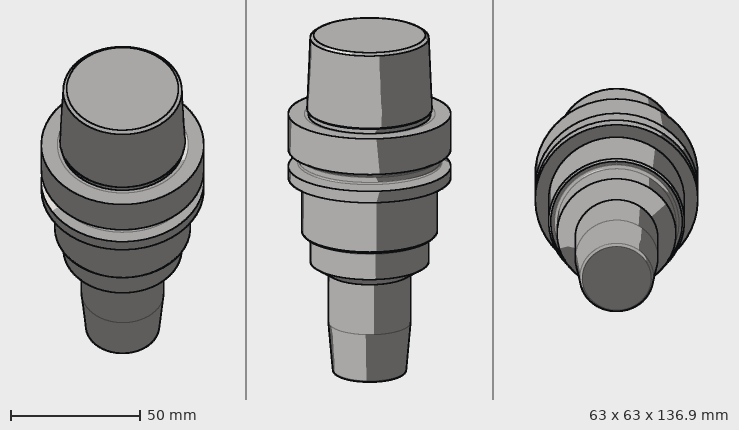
import cadquery as cq

total_length = 136.9
nose_taper_top = 20.3
neck_top = 40.5
collar_bottom = 44.9
body_bottom = 56.4
flange_bottom = 79.0
flange_face = 105.0
shank_relief_top = 106.9

nose_end_radius = 14.2
neck_radius = 16.0
collar_radius = 23.0
body_radius = 26.3
flange_radius = 31.5
shank_large_radius = 24.2
shank_small_radius = 23.0

nose_fillet = 1.0
body_chamfer = 0.8
collar_root_fillet = 1.1
shank_end_chamfer_width = 1.4
shank_end_chamfer_height = 1.0

groove_radius = 27.5
groove_mouth_bottom = 83.6
groove_floor_bottom = 85.5
groove_floor_top = 88.6
groove_mouth_top = 90.5
groove_root_fillet = 0.8

relief_radius = 23.7
relief_floor_top = 106.4
face_recess_radius = 25.3
face_recess_depth = 0.4


def make_holder():
    """Revolve the half section, given as (radius, height), about the Z axis."""
    half_section = [
        (0, 0),
        (nose_end_radius, 0),
        (neck_radius, nose_taper_top),
        (neck_radius, neck_top),
        (collar_radius, collar_bottom),
        (collar_radius, body_bottom),
        (body_radius - body_chamfer, body_bottom),
        (body_radius, body_bottom + body_chamfer),
        (body_radius, flange_bottom),
        (flange_radius, flange_bottom),
        (flange_radius, groove_mouth_bottom),
        (groove_radius, groove_floor_bottom),
        (groove_radius, groove_floor_top),
        (flange_radius, groove_mouth_top),
        (flange_radius, flange_face),
        (face_recess_radius, flange_face),
        (relief_radius, flange_face - face_recess_depth),
        (relief_radius, relief_floor_top),
        (shank_large_radius, shank_relief_top),
        (shank_small_radius, total_length - shank_end_chamfer_height),
        (shank_small_radius - shank_end_chamfer_width, total_length),
        (0, total_length),
    ]
    return cq.Workplane("XZ").polyline(half_section).close().revolve(360, (0, 0, 0), (0, 1, 0))


def fillet_ring(solid, radius, height, fillet):
    """Round the circular edge of the given radius at the given height."""
    reach = radius + fillet / 4
    margin = fillet / 4
    ring_box = cq.selectors.BoxSelector(
        (-reach, -reach, height - margin), (reach, reach, height + margin), boundingbox=True
    )
    circles = solid.edges("%CIRCLE").edges(ring_box)
    largest = max(circles.vals(), key=lambda edge: edge.radius())
    return solid.newObject([largest]).fillet(fillet)


result = make_holder()
result = fillet_ring(result, nose_end_radius, 0, nose_fillet)
result = fillet_ring(result, collar_radius, body_bottom, collar_root_fillet)
for floor_edge in (groove_floor_bottom, groove_floor_top):
    result = fillet_ring(result, groove_radius, floor_edge, groove_root_fillet)